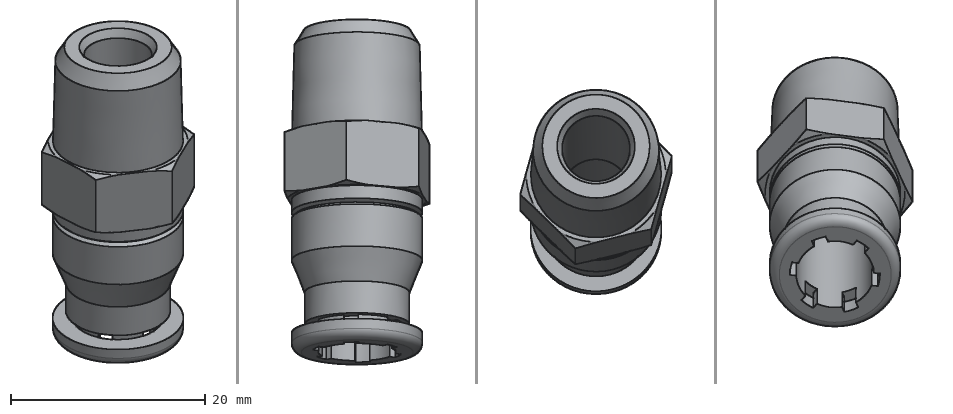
import cadquery as cq
import math

total_height = 33.9
through_radius = 7.0 / 2
tube_radius = 8.0 / 2
tube_stop_z = 16.07
mouth_half_angle = math.radians(30)
mouth_depth = (tube_radius - through_radius) / math.tan(mouth_half_angle)

body_radius = 13.5 / 2
collar_top_z = 2.0
collar_fillet = 1.0
sleeve_radius = 4.65
slot_count = 6
slot_width = 1.53

neck_radius = 10.8 / 2
neck_bottom_z = 2.9
neck_top_z = 6.27
shoulder_z = 9.65
groove_z = 14.4
groove_half_width = 0.3
groove_depth = 0.4

hex_across_flats = 14.0
hex_across_corners = hex_across_flats / math.cos(math.pi / 6)
hex_bottom_z = 16.07
hex_height = 6.78
hex_top_z = hex_bottom_z + hex_height
hex_face_radius = 7.2
hex_corner_drop = 0.3

thread_base_radius = 6.7
thread_top_radius = 6.47
thread_tip_radius = 5.53
thread_chamfer_z = 32.35


def make_turned_body():
    """Solid of revolution without the bores; the sleeve spans the collar gap."""
    fillet_mid = collar_fillet * (1 - math.sqrt(0.5))
    return (
        cq.Workplane("XZ")
        .lineTo(body_radius - collar_fillet, 0)
        .threePointArc((body_radius - fillet_mid, fillet_mid), (body_radius, collar_fillet))
        .lineTo(body_radius, collar_top_z)
        .lineTo(sleeve_radius, collar_top_z)
        .lineTo(sleeve_radius, neck_bottom_z)
        .lineTo(neck_radius, neck_bottom_z)
        .lineTo(neck_radius, neck_top_z)
        .lineTo(body_radius, shoulder_z)
        .lineTo(body_radius, groove_z - groove_half_width)
        .lineTo(body_radius - groove_depth, groove_z)
        .lineTo(body_radius, groove_z + groove_half_width)
        .lineTo(body_radius, hex_bottom_z)
        .lineTo(thread_base_radius, hex_top_z)
        .lineTo(thread_top_radius, thread_chamfer_z)
        .lineTo(thread_tip_radius, total_height)
        .lineTo(0, total_height)
        .close()
        .revolve(360, (0, 0), (0, 1))
    )


def make_hexagon():
    """Hexagon with corners on Y, its ends trimmed by shallow cones."""
    corner_radius = hex_across_corners / 2
    prism = (
        cq.Workplane("XY", origin=(0, 0, hex_bottom_z))
        .polygon(6, hex_across_corners)
        .extrude(hex_height)
        .rotate((0, 0, 0), (0, 0, 1), 30)
    )
    trim = (
        cq.Workplane("XZ")
        .moveTo(0, hex_bottom_z)
        .lineTo(hex_face_radius, hex_bottom_z)
        .lineTo(corner_radius, hex_bottom_z + hex_corner_drop)
        .lineTo(corner_radius, hex_top_z - hex_corner_drop)
        .lineTo(hex_face_radius, hex_top_z)
        .lineTo(0, hex_top_z)
        .close()
        .revolve(360, (0, 0), (0, 1))
    )
    return prism.intersect(trim)


def make_bore():
    """Tube socket from below, through bore and countersunk upper mouth."""
    return (
        cq.Workplane("XZ")
        .lineTo(tube_radius, 0)
        .lineTo(tube_radius, tube_stop_z)
        .lineTo(through_radius, tube_stop_z)
        .lineTo(through_radius, total_height - mouth_depth)
        .lineTo(tube_radius, total_height)
        .lineTo(0, total_height)
        .close()
        .revolve(360, (0, 0), (0, 1))
    )


def make_slots():
    """Radial slots through the sleeve wall, running down inside the collar to its bottom."""
    slots = cq.Workplane("XY")
    for index in range(slot_count):
        slot = (
            cq.Workplane("XY")
            .center(body_radius / 2, 0)
            .rect(body_radius, slot_width)
            .extrude(neck_bottom_z)
            .rotate((0, 0, 0), (0, 0, 1), 90 + index * 360 / slot_count)
        )
        slots = slots.add(slot)
    sleeve = cq.Workplane("XY").circle(sleeve_radius).extrude(neck_bottom_z)
    return sleeve.intersect(slots.combine())


result = make_turned_body().union(make_hexagon()).cut(make_bore()).cut(make_slots())